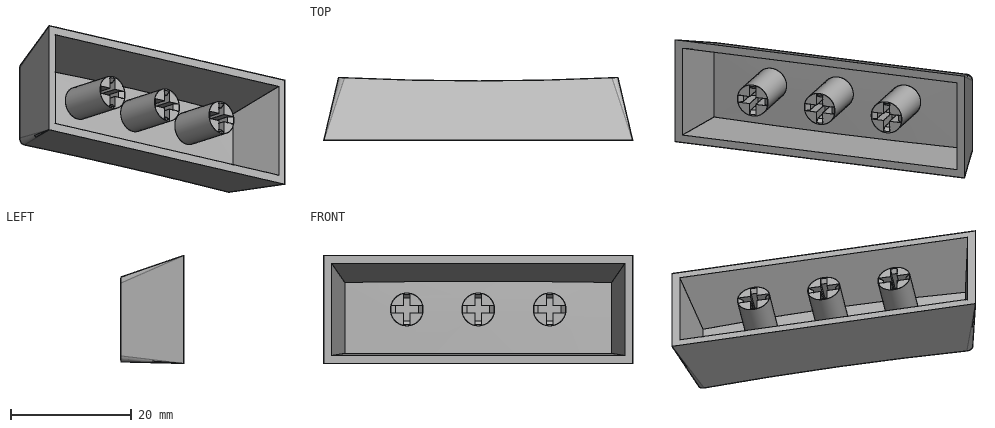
import cadquery as cq
import math

rim_width = 51.5
rim_height = 18.0
rim_corner_radius = 0.025

cap_depth = 10.5
side_inset = 2.45
upper_inset = 3.6
lower_inset = 0.25
lower_draft_extra = 0.15
back_corner_radius = 1.05

wall = 1.35
back_thickness = 1.2

dish_depth = 0.6

stem_pitch = 11.9
stem_count = 3
stem_radius = 2.75
stem_embedding = 0.55

arm_across_z = 1.25
arm_across_x = 1.1
arm_reach = 1.9
horizontal_mouth_reach = 2.65
vertical_mouth_reach = 2.45
lead_in_depth = 0.65
socket_depth = 4.0

back_width = rim_width - 2 * side_inset
back_height = rim_height - upper_inset - lower_inset
back_centre_z = (lower_inset - upper_inset) / 2

corner_distance = back_corner_radius + math.hypot(
    back_width / 2 - back_corner_radius, back_height / 2 - back_corner_radius
)
dish_radius = (corner_distance**2 + dish_depth**2) / (2 * dish_depth)
dish_centre_y = cap_depth - dish_depth + dish_radius


def rectangle(width, height, y, z=0.0, corner_radius=0.0):
    """Closed rectangle, sharp or rounded, in the plane at the given y."""
    face = cq.Face.makePlane(width, height, (0, y, z), (0, 1, 0))
    if corner_radius:
        face = face.fillet2D(corner_radius, face.Vertices())
    return face.outerWire()


def tapered_block(start, end):
    """Solid with straight flanks between two outlines."""
    return cq.Workplane(cq.Solid.makeLoft([start, end], True))


def dish_ball(radius):
    """Ball concentric with the dish."""
    return cq.Workplane().sphere(radius).translate((0, dish_centre_y, back_centre_z))


def box_from_rim(width, height, depth):
    """Box centred on the origin in X and Z, running inward from the rim plane."""
    return cq.Workplane("XZ").rect(width, height).extrude(-depth)


def make_shell_body():
    return tapered_block(
        rectangle(rim_width, rim_height, 0, 0, rim_corner_radius),
        rectangle(back_width, back_height, cap_depth, back_centre_z, back_corner_radius),
    ).cut(dish_ball(dish_radius))


def make_cavity():
    return tapered_block(
        rectangle(rim_width - 2 * wall, rim_height - 2 * wall, 0),
        rectangle(
            back_width - 2 * wall,
            back_height - 2 * wall - lower_draft_extra,
            cap_depth,
            back_centre_z + lower_draft_extra / 2,
        ),
    ).cut(dish_ball(dish_radius + back_thickness))


def make_stem():
    column = cq.Workplane("XZ").circle(stem_radius).extrude(-cap_depth)
    embedded_end = dish_ball(dish_radius + back_thickness - stem_embedding)
    return column.cut(embedded_end).cut(make_socket())


def make_socket():
    horizontal_arm = box_from_rim(2 * arm_reach, arm_across_z, socket_depth)
    vertical_arm = box_from_rim(arm_across_x, 2 * arm_reach, socket_depth)
    horizontal_lead_in = tapered_block(
        rectangle(2 * horizontal_mouth_reach, arm_across_z, 0),
        rectangle(2 * arm_reach, arm_across_z, lead_in_depth),
    )
    vertical_lead_in = tapered_block(
        rectangle(arm_across_x, 2 * vertical_mouth_reach, 0),
        rectangle(arm_across_x, 2 * arm_reach, lead_in_depth),
    )
    arms = horizontal_arm.union(vertical_arm)
    return arms.union(horizontal_lead_in).union(vertical_lead_in)


stem = make_stem()

result = make_shell_body().cut(make_cavity())
for index in range(stem_count):
    stem_x = (index - (stem_count - 1) / 2) * stem_pitch
    result = result.union(stem.translate((stem_x, 0, 0)))